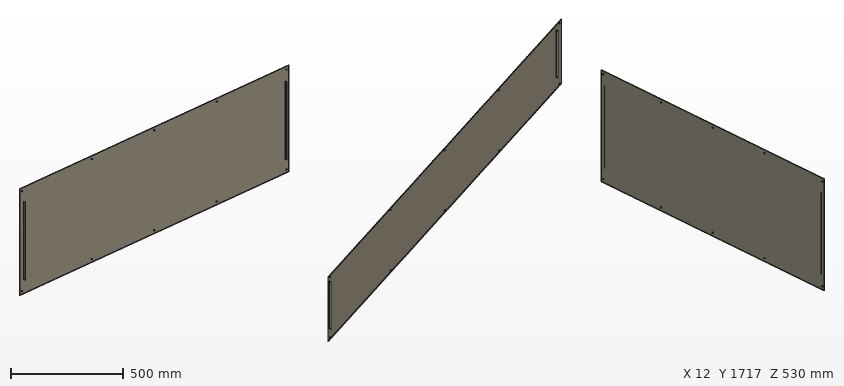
import cadquery as cq

panel_length = 1717.0
panel_height = 530.0
sheet_thickness = 2.0
overall_depth = 12.0

rib_height = 388.0
rib_end_inset = 24.0

hole_diameter = 5.0
hole_row_z = 249.0
inner_hole_y = 398.0
outer_hole_y = 843.0


def make_panel():
    return cq.Workplane("XY").box(
        sheet_thickness, panel_length, panel_height, centered=(False, True, True)
    )


def make_rib(side):
    """Thin rib on the back face; side is -1 or +1 along Y."""
    rib_y = side * (panel_length / 2 - rib_end_inset)
    return (
        cq.Workplane("XY")
        .box(overall_depth, sheet_thickness, rib_height, centered=(False, True, True))
        .translate((0, rib_y, 0))
    )


def make_hole_cutters():
    hole_columns = [-outer_hole_y, -inner_hole_y, 0, inner_hole_y, outer_hole_y]
    hole_centers = [(y, z) for y in hole_columns for z in (-hole_row_z, hole_row_z)]
    return (
        cq.Workplane("YZ")
        .pushPoints(hole_centers)
        .circle(hole_diameter / 2)
        .extrude(sheet_thickness)
    )


result = make_panel()
for side in (-1, 1):
    result = result.union(make_rib(side))
result = result.cut(make_hole_cutters())